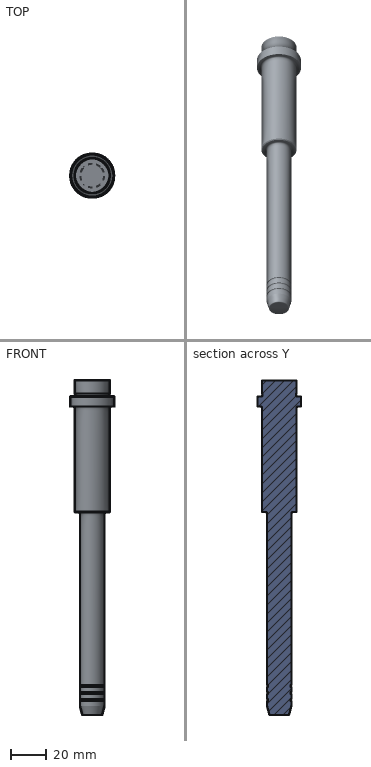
import cadquery as cq
import math

total_length = 190.0
head_length = 9.0
collar_height = 6.0
body_length = 60.0

collar_diameter = 25.0
body_diameter = 20.0
rod_diameter = 14.0

collar_chamfer = 0.5
body_chamfer = 0.5
root_radius = 0.8
head_edge_radius = 0.3

undercut_width = 1.5
undercut_depth = 0.3
undercut_corner_radius = 0.3

groove_count = 3
groove_pitch = 4.0
groove_width = 1.0
groove_depth = 0.5
groove_corner_radius = 0.4
first_groove_z = 8.0

groove_clearance = 0.5

tip_length = 5.0
tip_angle = 15.0
tip_edge_radius = 0.5

collar_radius = collar_diameter / 2
body_radius = body_diameter / 2
rod_radius = rod_diameter / 2
tip_radius = rod_radius - tip_length * math.tan(math.radians(tip_angle))
collar_top = total_length - head_length
collar_bottom = collar_top - collar_height
body_bottom = collar_bottom - body_length


def cylinder(radius, bottom, top):
    """Cylinder about Z between two heights."""
    return cq.Workplane("XY").workplane(offset=bottom).circle(radius).extrude(top - bottom)


def revolve(profile):
    """Full turn of a closed XZ profile about Z."""
    return profile.close().revolve(360, (0, 0, 0), (0, 1, 0))


def groove(radius, bottom, width, depth, corner_radius):
    """Ring cutter for a groove with rounded floor corners in a cylinder of the given radius."""
    ring = cylinder(radius + groove_clearance, bottom, bottom + width)
    floor = cylinder(radius - depth, bottom, bottom + width)
    floor_edges = cq.selectors.RadiusNthSelector(0)
    return ring.cut(floor).edges(floor_edges).fillet(corner_radius)


def make_head():
    """Plain head with a rounded upper edge."""
    return cylinder(body_radius, collar_top, total_length).faces(">Z").edges().fillet(head_edge_radius)


def make_collar():
    """Collar with a chamfered upper edge."""
    return cylinder(collar_radius, collar_bottom, collar_top).faces(">Z").edges().chamfer(collar_chamfer)


def make_body():
    """Guide body with a chamfered lower edge."""
    return cylinder(body_radius, body_bottom, collar_bottom).faces("<Z").edges().chamfer(body_chamfer)


def make_root(radius, shoulder):
    """Concave fillet below a shoulder, around a cylinder of the given radius."""
    middle = root_radius * (1 - math.sqrt(0.5))
    profile = (
        cq.Workplane("XZ")
        .moveTo(0, shoulder)
        .lineTo(radius + root_radius, shoulder)
        .threePointArc((radius + middle, shoulder - middle), (radius, shoulder - root_radius))
        .lineTo(0, shoulder - root_radius)
    )
    return revolve(profile)


def make_tip():
    """Conical tip with a rounded lower edge."""
    profile = (
        cq.Workplane("XZ")
        .lineTo(tip_radius, 0)
        .lineTo(rod_radius, tip_length)
        .lineTo(0, tip_length)
    )
    return revolve(profile).faces("<Z").edges().fillet(tip_edge_radius)


def cut_grooves(part):
    """Cut the head undercut and the ring grooves of the rod."""
    part = part.cut(groove(body_radius, collar_top, undercut_width, undercut_depth, undercut_corner_radius))
    for index in range(groove_count):
        bottom = first_groove_z + index * groove_pitch
        part = part.cut(groove(rod_radius, bottom, groove_width, groove_depth, groove_corner_radius))
    return part


pin = (
    cylinder(rod_radius, tip_length, body_bottom)
    .union(make_tip())
    .union(make_body())
    .union(make_collar())
    .union(make_head())
    .union(make_root(body_radius, collar_bottom))
    .union(make_root(rod_radius, body_bottom))
)
result = cut_grooves(pin)